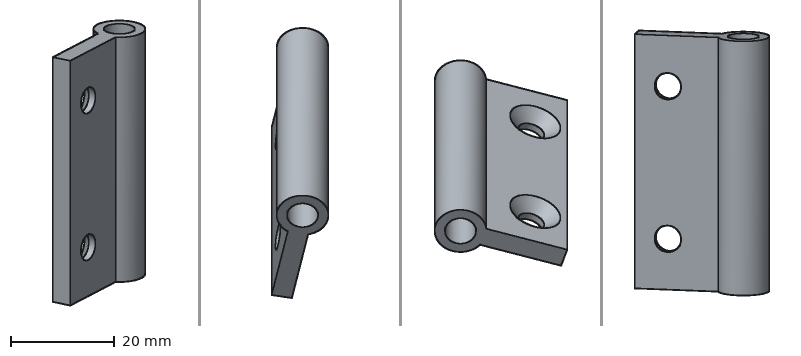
import cadquery as cq

height = 50.0
barrel_diameter = 10.0
bore_diameter = 6.0

overall_depth = 26.0
leaf_thickness = 4.0
leaf_reach = overall_depth - barrel_diameter / 2

screw_hole_diameter = 5.2
countersink_diameter = 10.2
countersink_angle = 90.0
hole_to_leaf_edge = 6.5
hole_to_end = 10.0
hole_spacing = height - 2 * hole_to_end


def make_body():
    """Solid barrel joined to the leaf."""
    barrel = cq.Workplane("XY").circle(barrel_diameter / 2).extrude(height)
    leaf = (
        cq.Workplane("XY")
        .center(0, -leaf_reach / 2)
        .rect(leaf_thickness, leaf_reach)
        .extrude(height)
    )
    return barrel.union(leaf)


def cut_bore(body):
    """Pin bore through the full height of the barrel."""
    bore = cq.Workplane("XY").circle(bore_diameter / 2).extrude(height)
    return body.cut(bore)


def cut_screw_holes(body):
    """Two countersunk holes through the leaf."""
    hole_y = -leaf_reach + hole_to_leaf_edge
    face_plane = cq.Plane(
        origin=(-leaf_thickness / 2, hole_y, height / 2),
        xDir=(0, 0, 1),
        normal=(-1, 0, 0),
    )
    return (
        body.copyWorkplane(cq.Workplane(face_plane))
        .pushPoints([(-hole_spacing / 2, 0), (hole_spacing / 2, 0)])
        .cskHole(screw_hole_diameter, countersink_diameter, countersink_angle, leaf_thickness)
    )


result = cut_screw_holes(cut_bore(make_body()))